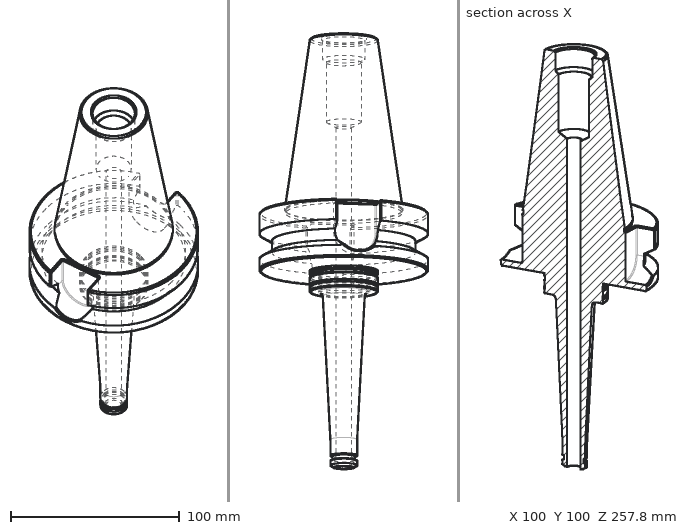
import cadquery as cq
import math

GAUGE_DIAMETER = 69.85
TAPER_RATIO = 7 / 24
TAPER_LENGTH = 101.8
TAPER_TOP_CHAMFER = 1.0
NECK_DIAMETER = 69.0
TAPER_BOTTOM_Z = -1.0
NECK_TOP_Z = -1.5

FLANGE_DIAMETER = 100.0
FLANGE_TOP_Z = -3.0
FLANGE_BOTTOM_Z = -38.0
FLANGE_CHAMFER = 1.0
GROOVE_DIAMETER = 85.0
GROOVE_FLOOR_TOP_Z = -19.8
GROOVE_FLOOR_BOTTOM_Z = -26.6
GROOVE_FLANK_ANGLE = 30.0

SLOT_WIDTH = 25.7
SLOT_FLOOR_OFFSET = 35.4
SLOT_BOTTOM_Z = -33.9
SLOT_FLOOR_FILLET = 0.6
SLOT_EDGE_CHAMFER = 0.8
EDGE_TOLERANCE = 0.01

COLLAR_DIAMETER = 40.5
COLLAR_BOTTOM_Z = -50.5
COLLAR_CHAMFER = 0.6
RELIEF_DIAMETER = 39.5
RELIEF_TOP_Z = -39.3
RELIEF_BOTTOM_Z = -42.3
RELIEF_FLANK = 0.8
RING_GROOVE_TOP_Z = -46.1
RING_GROOVE_BOTTOM_Z = -47.5
RING_GROOVE_DEPTH = 0.5

ARM_TOP_DIAMETER = 25.0
ARM_ROOT_FILLET = 2.5
ARM_BOTTOM_Z = -139.3
TIP_DIAMETER = 16.0
TIP_GROOVE_DIAMETER = 13.5
TIP_GROOVE_TOP_Z = -148.8
TIP_GROOVE_BOTTOM_Z = -152.1
TIP_GROOVE_FLANK = 0.6
TIP_BOTTOM_Z = -156.0
TIP_CHAMFER_HEIGHT = 1.3
TIP_END_DIAMETER = 11.8

BORE_DIAMETER = 25.0
BORE_DEPTH = 12.2
BORE_CHAMFER = 1.0
THREAD_HOLE_DIAMETER = 20.75
THREAD_HOLE_DEPTH = 50.0
STEP_ANGLE = 45.0
DRILL_POINT_ANGLE = 120.0
THROUGH_HOLE_DIAMETER = 9.0


def revolve(points):
    """Revolve a closed (radius, z) outline about the Z axis."""
    return cq.Workplane("XZ").polyline(points).close().revolve(360, (0, 0), (0, 1))


def taper_radius(z):
    return (GAUGE_DIAMETER - TAPER_RATIO * z) / 2


def make_taper():
    chamfer_z = TAPER_LENGTH - TAPER_TOP_CHAMFER
    return revolve([
        (0, FLANGE_TOP_Z),
        (NECK_DIAMETER / 2, FLANGE_TOP_Z),
        (NECK_DIAMETER / 2, NECK_TOP_Z),
        (taper_radius(TAPER_BOTTOM_Z), TAPER_BOTTOM_Z),
        (taper_radius(chamfer_z), chamfer_z),
        (taper_radius(TAPER_LENGTH) - TAPER_TOP_CHAMFER, TAPER_LENGTH),
        (0, TAPER_LENGTH),
    ])


def make_flange():
    rim = FLANGE_DIAMETER / 2
    floor = GROOVE_DIAMETER / 2
    flank_height = (rim - floor) * math.tan(math.radians(GROOVE_FLANK_ANGLE))
    return revolve([
        (0, FLANGE_BOTTOM_Z),
        (rim - FLANGE_CHAMFER, FLANGE_BOTTOM_Z),
        (rim, FLANGE_BOTTOM_Z + FLANGE_CHAMFER),
        (rim, GROOVE_FLOOR_BOTTOM_Z - flank_height),
        (floor, GROOVE_FLOOR_BOTTOM_Z),
        (floor, GROOVE_FLOOR_TOP_Z),
        (rim, GROOVE_FLOOR_TOP_Z + flank_height),
        (rim, FLANGE_TOP_Z - FLANGE_CHAMFER),
        (rim - FLANGE_CHAMFER, FLANGE_TOP_Z),
        (0, FLANGE_TOP_Z),
    ])


def make_drive_slot():
    """Round-bottomed slot cutter on the -Y side, open at the top."""
    radius = SLOT_WIDTH / 2
    arc_center_z = SLOT_BOTTOM_Z + radius
    cutter = (
        cq.Workplane("XZ", origin=(0, -SLOT_FLOOR_OFFSET, 0))
        .moveTo(-radius, 0)
        .lineTo(-radius, arc_center_z)
        .threePointArc((0, SLOT_BOTTOM_Z), (radius, arc_center_z))
        .lineTo(radius, 0)
        .close()
        .extrude(FLANGE_DIAMETER / 2)
    )
    return cutter.faces(">Y").edges("not >Z").fillet(SLOT_FLOOR_FILLET)


def is_slot_rim_edge(edge):
    """True for slot edges on the flange rim, its top chamfer or its top face."""
    middle = edge.positionAt(0.5)
    within_slot_width = abs(middle.x) < SLOT_WIDTH / 2 + EDGE_TOLERANCE
    outside_floor = abs(middle.y) > SLOT_FLOOR_OFFSET + SLOT_FLOOR_FILLET + EDGE_TOLERANCE
    on_rim = math.hypot(middle.x, middle.y) > FLANGE_DIAMETER / 2 - EDGE_TOLERANCE
    near_top = middle.z > FLANGE_TOP_Z - FLANGE_CHAMFER - EDGE_TOLERANCE
    return within_slot_width and outside_floor and (on_rim or near_top)


def make_slotted_flange():
    """Flange with both drive slots cut and their rim edges chamfered."""
    flange = make_flange()
    slot = make_drive_slot()
    for angle in (0, 180):
        flange = flange.cut(slot.rotate((0, 0, 0), (0, 0, 1), angle))
    return flange.edges().filter(is_slot_rim_edge).chamfer(SLOT_EDGE_CHAMFER)


def make_collar():
    outer = COLLAR_DIAMETER / 2
    relief = RELIEF_DIAMETER / 2
    return revolve([
        (0, FLANGE_BOTTOM_Z),
        (outer, FLANGE_BOTTOM_Z),
        (outer, RELIEF_TOP_Z),
        (relief, RELIEF_TOP_Z - RELIEF_FLANK),
        (relief, RELIEF_BOTTOM_Z + RELIEF_FLANK),
        (outer, RELIEF_BOTTOM_Z),
        (outer, RING_GROOVE_TOP_Z),
        (outer - RING_GROOVE_DEPTH, RING_GROOVE_TOP_Z),
        (outer - RING_GROOVE_DEPTH, RING_GROOVE_BOTTOM_Z),
        (outer, RING_GROOVE_BOTTOM_Z),
        (outer, COLLAR_BOTTOM_Z + COLLAR_CHAMFER),
        (outer - COLLAR_CHAMFER, COLLAR_BOTTOM_Z),
        (0, COLLAR_BOTTOM_Z),
    ])


def make_arm():
    top = ARM_TOP_DIAMETER / 2
    fillet_end_z = COLLAR_BOTTOM_Z - ARM_ROOT_FILLET
    tip = TIP_DIAMETER / 2
    groove = TIP_GROOVE_DIAMETER / 2
    arc_offset = ARM_ROOT_FILLET * (1 - math.sqrt(0.5))
    return (
        cq.Workplane("XZ")
        .moveTo(0, COLLAR_BOTTOM_Z)
        .lineTo(top + ARM_ROOT_FILLET, COLLAR_BOTTOM_Z)
        .threePointArc((top + arc_offset, COLLAR_BOTTOM_Z - arc_offset), (top, fillet_end_z))
        .lineTo(tip, ARM_BOTTOM_Z)
        .lineTo(tip, TIP_GROOVE_TOP_Z)
        .lineTo(groove, TIP_GROOVE_TOP_Z - TIP_GROOVE_FLANK)
        .lineTo(groove, TIP_GROOVE_BOTTOM_Z + TIP_GROOVE_FLANK)
        .lineTo(tip, TIP_GROOVE_BOTTOM_Z)
        .lineTo(tip, TIP_BOTTOM_Z + TIP_CHAMFER_HEIGHT)
        .lineTo(TIP_END_DIAMETER / 2, TIP_BOTTOM_Z)
        .lineTo(0, TIP_BOTTOM_Z)
        .close()
        .revolve(360, (0, 0), (0, 1))
    )


def make_bore():
    bore = BORE_DIAMETER / 2
    thread = THREAD_HOLE_DIAMETER / 2
    through = THROUGH_HOLE_DIAMETER / 2
    step_height = (bore - thread) * math.tan(math.radians(STEP_ANGLE))
    point_height = (thread - through) / math.tan(math.radians(DRILL_POINT_ANGLE / 2))
    step_z = TAPER_LENGTH - BORE_DEPTH
    thread_end_z = TAPER_LENGTH - THREAD_HOLE_DEPTH
    return revolve([
        (0, TIP_BOTTOM_Z),
        (through, TIP_BOTTOM_Z),
        (through, thread_end_z - point_height),
        (thread, thread_end_z),
        (thread, step_z - step_height),
        (bore, step_z),
        (bore, TAPER_LENGTH - BORE_CHAMFER),
        (bore + BORE_CHAMFER, TAPER_LENGTH),
        (0, TAPER_LENGTH),
    ])


result = make_taper().union(make_slotted_flange()).union(make_collar()).union(make_arm())
result = result.cut(make_bore())